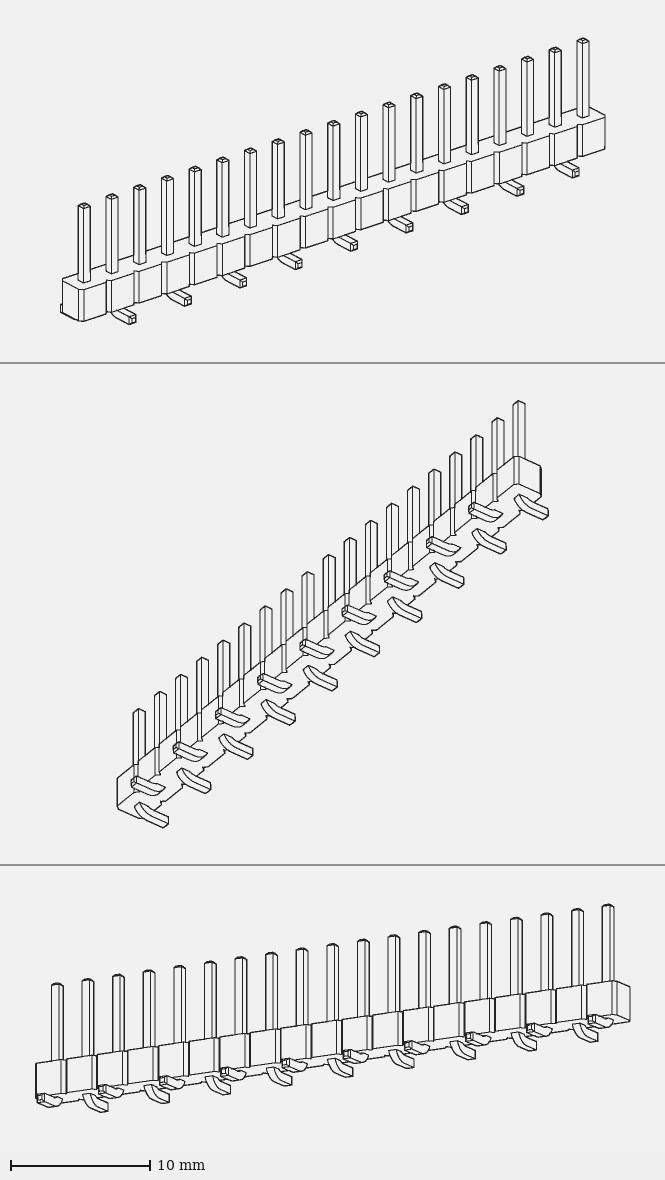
import cadquery as cq

pin_count = 19
row_length = 48.25
pitch = row_length / pin_count
body_width = 2.45
body_bottom = 0.75
body_height = 2.5
corner_chamfer_x = 0.3
corner_chamfer_y = 0.25

overall_height = 9.3
leg_span = 5.0
pin_size = 0.65
inner_bend_radius = 0.65
tip_chamfer = 0.15


def housing_cell(y):
    """Block whose chamfered corners form the V notches between neighbours."""
    x_side = body_width / 2
    x_end = x_side - corner_chamfer_x
    y_end = pitch / 2
    y_side = y_end - corner_chamfer_y
    return (
        cq.Workplane("XY", origin=(0, y, body_bottom))
        .moveTo(x_end, -y_end)
        .lineTo(x_side, -y_side)
        .lineTo(x_side, y_side)
        .lineTo(x_end, y_end)
        .lineTo(-x_end, y_end)
        .lineTo(-x_side, y_side)
        .lineTo(-x_side, -y_side)
        .lineTo(-x_end, -y_end)
        .close()
        .extrude(body_height)
    )


def bent_pin():
    """Upright pin centred on the Z axis, with its leg pointing to -X."""
    half = pin_size / 2
    outer_bend_radius = inner_bend_radius + pin_size
    bend_x = half - outer_bend_radius
    bend_z = outer_bend_radius
    leg_end = -leg_span / 2
    wire = (
        cq.Workplane("XZ")
        .moveTo(-half, overall_height)
        .lineTo(-half, bend_z)
        .radiusArc((bend_x, pin_size), inner_bend_radius)
        .lineTo(leg_end, pin_size)
        .lineTo(leg_end, 0)
        .lineTo(bend_x, 0)
        .radiusArc((half, bend_z), -outer_bend_radius)
        .lineTo(half, overall_height)
        .close()
        .extrude(half, both=True)
    )
    return wire.faces(">Z or <X").chamfer(tip_chamfer)


left_pin = bent_pin()
right_pin = left_pin.rotate((0, 0, 0), (0, 0, 1), 180)

result = cq.Workplane("XY")
for index in range(pin_count):
    y = (index - (pin_count - 1) / 2) * pitch
    pin = left_pin if index % 2 == 0 else right_pin
    result = result.union(housing_cell(y)).union(pin.translate((0, y, 0)))